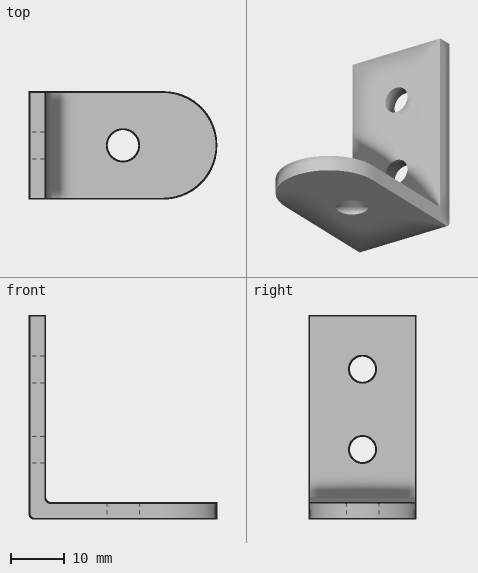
import cadquery as cq

length = 35.0
width = 20.0
height = 38.0
thickness = 3.0
bend_radius = 1.0

base_hole_diameter = 6.0
base_hole_x = length / 2
wall_hole_diameter = 5.0
lower_hole_z = 13.0
upper_hole_z = 28.0


def make_base():
    """Flat plate with a full-width round end at +X."""
    end_radius = width / 2
    straight_end = length - end_radius
    return (
        cq.Workplane("XY")
        .moveTo(0, -end_radius)
        .lineTo(straight_end, -end_radius)
        .threePointArc((length, 0), (straight_end, end_radius))
        .lineTo(0, end_radius)
        .close()
        .extrude(thickness)
    )


def make_wall():
    """Upright plate along the straight end of the base."""
    return cq.Workplane("XY").box(thickness, width, height, centered=(False, True, False))


def round_bend(body):
    """Round the inner and outer corners where the two plates meet."""
    inner_corner = cq.selectors.NearestToPointSelector((thickness, 0, thickness))
    outer_corner = cq.selectors.NearestToPointSelector((0, 0, 0))
    return body.edges(inner_corner).fillet(bend_radius).edges(outer_corner).fillet(bend_radius)


def make_base_hole():
    return (
        cq.Workplane("XY")
        .center(base_hole_x, 0)
        .circle(base_hole_diameter / 2)
        .extrude(thickness)
    )


def make_wall_holes():
    return (
        cq.Workplane("YZ")
        .pushPoints([(0, lower_hole_z), (0, upper_hole_z)])
        .circle(wall_hole_diameter / 2)
        .extrude(thickness)
    )


bracket = round_bend(make_base().union(make_wall()))
result = bracket.cut(make_base_hole()).cut(make_wall_holes())